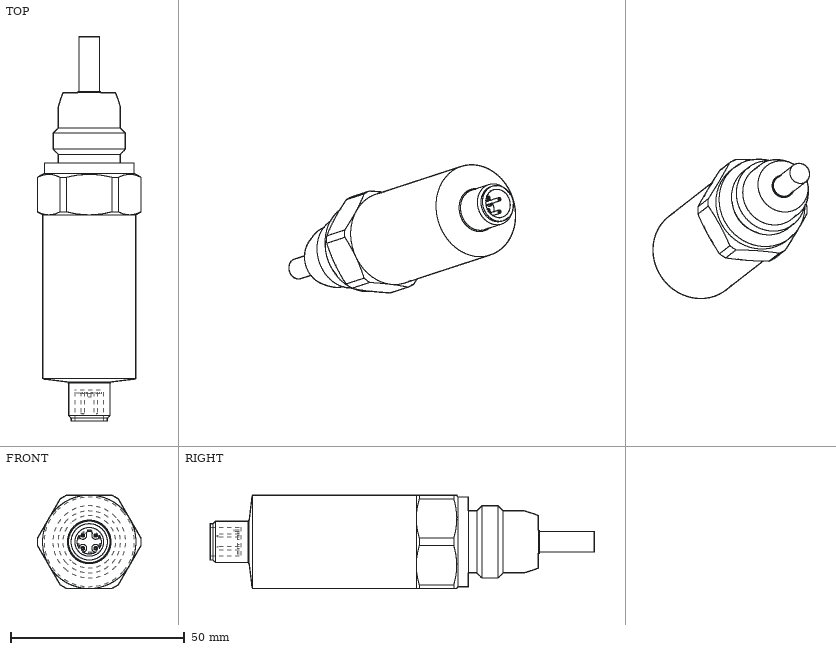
import cadquery as cq
import math

LENGTH = 111.1

CONNECTOR_DIAMETER = 12.0
NOSE_DIAMETER = 10.5
NOSE_LENGTH = 0.85
NOSE_SHOULDER = (CONNECTOR_DIAMETER - NOSE_DIAMETER) / 2
CONNECTOR_BASE = 11.28
ROOT_CHAMFER = 0.3
BORE_DIAMETER = 8.3
BORE_DEPTH = 9.0

CARRIER_DIAMETER = 7.0
CARRIER_HEIGHT = 1.0
PIN_DIAMETER = 1.0
PIN_CIRCLE_DIAMETER = 5.2
PIN_COUNT = 4
PIN_TIP = 2.0
PIN_ROOT = 1.0
PIN_TIP_CHAMFER = 0.25
PIN_POCKET_DIAMETER = 2.2
KEY_WIDTH = 1.0
KEY_INNER_RADIUS = 2.95
KEY_HEIGHT = 1.0
KEY_SHOULDER = 1.5

BODY_DIAMETER = 27.0
BODY_FACE_DIAMETER = 26.0
BODY_FACE_START = 12.1
BODY_EDGE = 12.3

HEX_START = 59.6
HEX_LENGTH = 12.0
HEX_END = HEX_START + HEX_LENGTH
HEX_ACROSS_FLATS = 27.0
HEX_CORNER_DIAMETER = 30.0
HEX_CHAMFER_ANGLE = 30.0
HEX_CORNERS = 6

COLLAR_DIAMETER = 26.0
COLLAR_END = 74.65
GLAND_DIAMETER = 18.0
RING_DIAMETER = 20.95
RING_CHAMFER = (RING_DIAMETER - GLAND_DIAMETER) / 2
RING_START = 77.1
RING_END = 84.7
GLAND_TAPER_START = 90.8
GLAND_TAPER_MIDDLE = 93.0
GLAND_END = 94.9
GLAND_TAPER_MIDDLE_DIAMETER = 16.7
GLAND_END_DIAMETER = 15.2

CABLE_DIAMETER = 6.0
BUSHING_DIAMETER = 6.6
BUSHING_END = 95.2


def cylinder(diameter, start, end, x=0.0, z=0.0):
    """Cylinder along Y between two stations."""
    axis_point = cq.Vector(x, start, z)
    along_y = cq.Vector(0, 1, 0)
    return cq.Workplane(cq.Solid.makeCylinder(diameter / 2, end - start, axis_point, along_y))


def turned(profile):
    """Solid of revolution about Y from a closed profile in the XY plane."""
    return profile.close().revolve(360, (0, 0, 0), (0, 1, 0))


def make_connector_and_body():
    profile = (
        cq.Workplane("XY")
        .moveTo(0, 0)
        .lineTo(NOSE_DIAMETER / 2, 0)
        .lineTo(NOSE_DIAMETER / 2, NOSE_LENGTH)
        .lineTo(CONNECTOR_DIAMETER / 2, NOSE_LENGTH + NOSE_SHOULDER)
        .lineTo(CONNECTOR_DIAMETER / 2, CONNECTOR_BASE - ROOT_CHAMFER)
        .lineTo(CONNECTOR_DIAMETER / 2 + ROOT_CHAMFER, CONNECTOR_BASE)
        .lineTo(BODY_FACE_DIAMETER / 2, BODY_FACE_START)
        .lineTo(BODY_DIAMETER / 2, BODY_EDGE)
        .lineTo(BODY_DIAMETER / 2, HEX_START)
        .lineTo(0, HEX_START)
    )
    return turned(profile)


def make_hexagon():
    slope = math.tan(math.radians(HEX_CHAMFER_ANGLE))
    corner_radius = HEX_CORNER_DIAMETER / 2
    body_side_chamfer = (corner_radius - BODY_DIAMETER / 2) * slope
    collar_side_chamfer = (corner_radius - COLLAR_DIAMETER / 2) * slope
    envelope = turned(
        cq.Workplane("XY")
        .moveTo(0, HEX_START)
        .lineTo(BODY_DIAMETER / 2, HEX_START)
        .lineTo(corner_radius, HEX_START + body_side_chamfer)
        .lineTo(corner_radius, HEX_END - collar_side_chamfer)
        .lineTo(COLLAR_DIAMETER / 2, HEX_END)
        .lineTo(0, HEX_END)
    )
    across_corners = HEX_ACROSS_FLATS / math.cos(math.pi / HEX_CORNERS)
    prism = (
        cq.Workplane("XZ", origin=(0, HEX_START, 0))
        .polygon(HEX_CORNERS, across_corners)
        .extrude(-HEX_LENGTH)
    )
    return prism.intersect(envelope)


def make_gland_and_cable():
    profile = (
        cq.Workplane("XY")
        .moveTo(0, HEX_END)
        .lineTo(COLLAR_DIAMETER / 2, HEX_END)
        .lineTo(COLLAR_DIAMETER / 2, COLLAR_END)
        .lineTo(GLAND_DIAMETER / 2, COLLAR_END)
        .lineTo(GLAND_DIAMETER / 2, RING_START)
        .lineTo(RING_DIAMETER / 2, RING_START + RING_CHAMFER)
        .lineTo(RING_DIAMETER / 2, RING_END - RING_CHAMFER)
        .lineTo(GLAND_DIAMETER / 2, RING_END)
        .lineTo(GLAND_DIAMETER / 2, GLAND_TAPER_START)
        .threePointArc(
            (GLAND_TAPER_MIDDLE_DIAMETER / 2, GLAND_TAPER_MIDDLE),
            (GLAND_END_DIAMETER / 2, GLAND_END),
        )
        .lineTo(BUSHING_DIAMETER / 2, GLAND_END)
        .lineTo(BUSHING_DIAMETER / 2, BUSHING_END)
        .lineTo(CABLE_DIAMETER / 2, BUSHING_END)
        .lineTo(CABLE_DIAMETER / 2, LENGTH)
        .lineTo(0, LENGTH)
    )
    return turned(profile)


def pin_positions():
    radius = PIN_CIRCLE_DIAMETER / 2
    angles = [math.pi / PIN_COUNT * (2 * i + 1) for i in range(PIN_COUNT)]
    return [(radius * math.cos(angle), radius * math.sin(angle)) for angle in angles]


def make_carrier():
    """Carrier disc with a pocket around each pin, narrowed to the key at its top."""
    top = BORE_DEPTH - CARRIER_HEIGHT
    carrier = cylinder(CARRIER_DIAMETER, top, BORE_DEPTH)
    for x, z in pin_positions():
        carrier = carrier.cut(cylinder(PIN_POCKET_DIAMETER, top, BORE_DEPTH, x, z))
    carrier_radius = CARRIER_DIAMETER / 2
    half_key = KEY_WIDTH / 2
    for side in (-1, 1):
        shoulder = (
            cq.Workplane("XZ", origin=(0, top, 0))
            .moveTo(side * half_key, KEY_INNER_RADIUS)
            .lineTo(side * half_key, carrier_radius)
            .lineTo(side * (half_key + KEY_SHOULDER), carrier_radius)
            .lineTo(side * (half_key + KEY_SHOULDER), KEY_INNER_RADIUS - KEY_SHOULDER)
            .close()
            .extrude(-CARRIER_HEIGHT)
        )
        carrier = carrier.cut(shoulder)
    return carrier


def make_key():
    """Lug that stands on the top edge of the carrier."""
    start = BORE_DEPTH - CARRIER_HEIGHT - KEY_HEIGHT
    bar = cq.Workplane("XY").box(
        KEY_WIDTH,
        KEY_HEIGHT + CARRIER_HEIGHT,
        CARRIER_DIAMETER / 2 - KEY_INNER_RADIUS,
        centered=(True, False, False),
    )
    bar = bar.translate((0, start, KEY_INNER_RADIUS))
    return bar.intersect(cylinder(CARRIER_DIAMETER, start, BORE_DEPTH))


def make_pin(x, z):
    """Pin with a chamfered tip, rooted behind the bore floor."""
    pin = cylinder(PIN_DIAMETER, PIN_TIP, BORE_DEPTH + PIN_ROOT, x, z)
    return pin.faces("<Y").chamfer(PIN_TIP_CHAMFER)


result = make_connector_and_body().union(make_hexagon()).union(make_gland_and_cable())
result = result.cut(cylinder(BORE_DIAMETER, 0, BORE_DEPTH))
result = result.union(make_carrier()).union(make_key())
for pin_x, pin_z in pin_positions():
    result = result.union(make_pin(pin_x, pin_z))